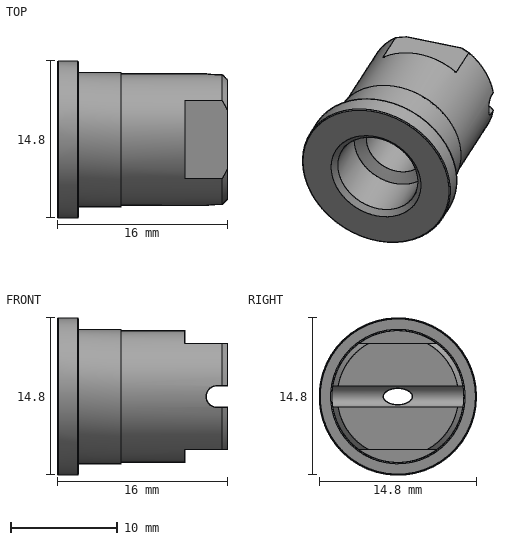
import cadquery as cq
import math


length = 16.0
flange_diameter = 14.8
flange_thickness = 2.0
flange_chamfer = 0.1
collar_diameter = 12.65
collar_end = 6.0
body_diameter = 12.4
tip_chamfer = 0.5

bore_diameter = 8.0
entry_diameter = 9.0
entry_half_angle = 45.0
bore_depth = 5.0
throat_diameter = 6.0
shoulder_half_angle = 59.0
cone_apex = 14.8
cone_half_angle = 59.5

flat_length = 4.0
flat_spacing = 10.0
slot_width = 2.0
slot_depth = 2.0


def cone_length(radius_change, half_angle):
    """Axial length of a cone whose radius changes by the given amount."""
    return radius_change / math.tan(math.radians(half_angle))


def cylinder(start, end, diameter):
    """Solid cylinder on the X axis."""
    return cq.Workplane("YZ", origin=(start, 0, 0)).circle(diameter / 2).extrude(end - start)


def make_outside():
    flange = cylinder(0, flange_thickness, flange_diameter).edges("%CIRCLE").chamfer(flange_chamfer)
    collar = cylinder(0, collar_end, collar_diameter)
    body = cylinder(0, length, body_diameter).faces(">X").edges().chamfer(tip_chamfer)
    return flange.union(collar).union(body)


def make_bore():
    """Entry chamfer, main bore, conical shoulder, throat and pointed end, as one turned solid."""
    entry_radius = entry_diameter / 2
    bore_radius = bore_diameter / 2
    throat_radius = throat_diameter / 2
    entry_end = cone_length(entry_radius - bore_radius, entry_half_angle)
    shoulder_end = bore_depth + cone_length(bore_radius - throat_radius, shoulder_half_angle)
    cone_start = cone_apex - cone_length(throat_radius, cone_half_angle)
    profile = [
        (0, 0),
        (0, entry_radius),
        (entry_end, bore_radius),
        (bore_depth, bore_radius),
        (shoulder_end, throat_radius),
        (cone_start, throat_radius),
        (cone_apex, 0),
    ]
    return cq.Workplane("XY").polyline(profile).close().revolve(360, (0, 0, 0), (1, 0, 0))


def make_flat_cut(side):
    """Block that leaves a flat on the top (side = 1) or the bottom (side = -1)."""
    height = flange_diameter / 2
    center = (length - flat_length / 2, 0, side * (flat_spacing + height) / 2)
    return cq.Workplane("XY", origin=center).box(flat_length, flange_diameter, height)


def make_slot():
    """Round-bottomed slot along Y that opens the pointed end of the bore as an oval orifice."""
    radius = slot_width / 2
    round_center = length - slot_depth + radius
    return (
        cq.Workplane("XZ")
        .moveTo(length, radius)
        .lineTo(round_center, radius)
        .threePointArc((length - slot_depth, 0), (round_center, -radius))
        .lineTo(length, -radius)
        .close()
        .extrude(flange_diameter / 2, both=True)
    )


result = make_outside().cut(make_bore())
for side in (1, -1):
    result = result.cut(make_flat_cut(side))
result = result.cut(make_slot())